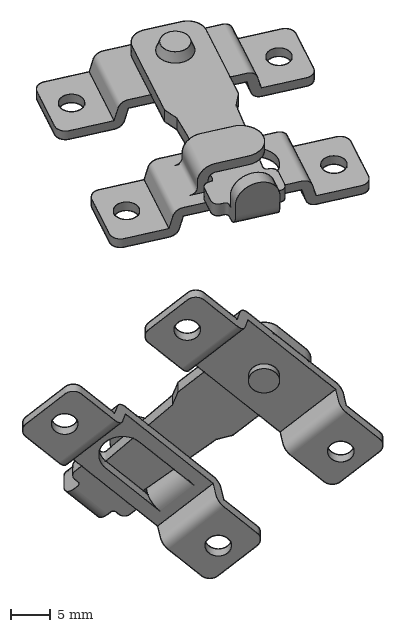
import cadquery as cq
import math

OVERALL_LENGTH = 38.0
OVERALL_HEIGHT = 11.5

BRACKET_LENGTH = 35.0
BRACKET_WIDTH = 10.0
SHEET = 1.5
BRIDGE_RISE = 3.05
BRIDGE_FLAT_LENGTH = 16.0
LEG_LEAN = 15.0
FOOT_CORNER_RADIUS = 1.5
SCREW_HOLE_DIAMETER = 3.4
SCREW_HOLE_PITCH = 28.0
KEEPER_X = 22.0
BRIDGE_TOP = BRIDGE_RISE + SHEET

HOOK_WIDTH = 6.08
HOOK_BEND_RADIUS = 1.0
HOOK_HEIGHT = 4.5
HOOK_TIP_Y = 4.5
HOOK_INNER_WALL_Y = -4.0
WINDOW_END_Y = 6.5
HOOK_OUTER_BEND_RADIUS = HOOK_BEND_RADIUS + SHEET
HOOK_X = KEEPER_X + BRACKET_WIDTH / 2

ARM_WIDTH = 10.0
ARM_THICKNESS = 2.0
ARM_END_RADIUS = 2.5
SHOULDER_START_X = 15.5
SHOULDER_END_X = 17.5
NECK_START_WIDTH = 7.98
NECK_END_WIDTH = 6.75
HEAD_START_X = 30.5
HEAD_END_X = 35.0
HEAD_CORNER_RADIUS = 1.0
INNER_CORNER_RADIUS = 0.5
TAB_WIDTH = 6.0
ARM_TOP = BRIDGE_TOP + ARM_THICKNESS

SHANK_DIAMETER = 4.0
RIVET_HEAD_DIAMETER = 5.0
RIVET_HEAD_HEIGHT = 1.5
RIVET_TAIL = 1.0
PIVOT_X = BRACKET_WIDTH / 2


def make_pivot_hole(bottom, top):
    """Cutter for the rivet hole between two heights."""
    return (
        cq.Workplane("XY", origin=(PIVOT_X, 0, bottom))
        .circle(SHANK_DIAMETER / 2)
        .extrude(top - bottom)
    )


def make_bracket(start_x):
    """Bridge-shaped strap with two screw feet, bent from sheet around sharp inside corners."""
    lean = math.radians(LEG_LEAN)
    half_length = BRACKET_LENGTH / 2
    half_flat = BRIDGE_FLAT_LENGTH / 2
    across_y = SHEET * math.cos(lean)
    across_z = SHEET * math.sin(lean)

    leg_top = (half_flat + across_y, BRIDGE_RISE + across_z)
    foot_bend = (leg_top[0] + (leg_top[1] - SHEET) * math.tan(lean), SHEET)
    leg_bottom = (foot_bend[0] - across_y, SHEET - across_z)
    mid_turn = math.radians((90 + LEG_LEAN) / 2)
    mid_y = SHEET * math.cos(mid_turn)
    mid_z = SHEET * math.sin(mid_turn)

    half_profile = (
        cq.Workplane("YZ")
        .moveTo(0, BRIDGE_RISE)
        .lineTo(0, BRIDGE_TOP)
        .lineTo(half_flat, BRIDGE_TOP)
        .threePointArc((half_flat + mid_y, BRIDGE_RISE + mid_z), leg_top)
        .lineTo(*foot_bend)
        .lineTo(half_length, SHEET)
        .lineTo(half_length, 0)
        .lineTo(foot_bend[0], 0)
        .threePointArc((foot_bend[0] - mid_y, SHEET - mid_z), leg_bottom)
        .lineTo(half_flat, BRIDGE_RISE)
        .close()
    )
    half_strap = half_profile.extrude(BRACKET_WIDTH)
    strap = half_strap.union(half_strap.mirror("XZ"))
    outer_corners = strap.faces("<Y or >Y").edges("|Z")
    strap = outer_corners.fillet(FOOT_CORNER_RADIUS)
    screw_holes = (
        cq.Workplane("XY")
        .pushPoints([(BRACKET_WIDTH / 2, side * SCREW_HOLE_PITCH / 2) for side in (-1, 1)])
        .circle(SCREW_HOLE_DIAMETER / 2)
        .extrude(SHEET)
    )
    return strap.cut(screw_holes).translate((start_x, 0, 0))


def tongue(root_y, tip_y, bottom, top):
    """Flat block as wide as the hook, with a half-round end at tip_y."""
    half_width = HOOK_WIDTH / 2
    round_y = tip_y - half_width
    return (
        cq.Workplane("XY", origin=(HOOK_X, 0, bottom))
        .moveTo(-half_width, root_y)
        .lineTo(half_width, root_y)
        .lineTo(half_width, round_y)
        .threePointArc((0, tip_y), (-half_width, round_y))
        .close()
        .extrude(top - bottom)
    )


def make_hook(root_y):
    """Strip rising from the bridge at root_y and turning back over the arm."""
    outer_wall_y = HOOK_INNER_WALL_Y - SHEET
    roof_y = HOOK_INNER_WALL_Y + HOOK_BEND_RADIUS
    top = BRIDGE_TOP + HOOK_HEIGHT
    underside = top - SHEET
    roof_bend_z = underside - HOOK_BEND_RADIUS
    root_bend_z = BRIDGE_TOP + HOOK_BEND_RADIUS
    diagonal = math.sqrt(0.5)
    inner_mid = HOOK_BEND_RADIUS * diagonal
    outer_mid = HOOK_OUTER_BEND_RADIUS * diagonal

    strip = (
        cq.Workplane("YZ", origin=(HOOK_X - HOOK_WIDTH / 2, 0, 0))
        .moveTo(root_y, BRIDGE_RISE)
        .lineTo(root_y, BRIDGE_TOP)
        .threePointArc((root_y + inner_mid, root_bend_z - inner_mid), (outer_wall_y, root_bend_z))
        .lineTo(outer_wall_y, roof_bend_z)
        .threePointArc((roof_y - outer_mid, roof_bend_z + outer_mid), (roof_y, top))
        .lineTo(HOOK_TIP_Y, top)
        .lineTo(HOOK_TIP_Y, underside)
        .lineTo(roof_y, underside)
        .threePointArc((roof_y - inner_mid, roof_bend_z + inner_mid), (HOOK_INNER_WALL_Y, roof_bend_z))
        .lineTo(HOOK_INNER_WALL_Y, root_bend_z)
        .threePointArc((root_y + outer_mid, root_bend_z - outer_mid), (root_y, BRIDGE_RISE))
        .close()
        .extrude(HOOK_WIDTH)
    )
    return strip.intersect(tongue(root_y, HOOK_TIP_Y, BRIDGE_RISE, top))


def make_pivot_bracket():
    """Bracket with a hole for the rivet."""
    return make_bracket(0).cut(make_pivot_hole(BRIDGE_RISE, BRIDGE_TOP))


def make_keeper_bracket():
    """Bracket with the hook and the window that the hook is bent out of."""
    root_y = HOOK_INNER_WALL_Y - HOOK_OUTER_BEND_RADIUS
    window = tongue(root_y, WINDOW_END_Y, BRIDGE_RISE, BRIDGE_TOP)
    return make_bracket(KEEPER_X).cut(window).union(make_hook(root_y))


def arm_section(start_x, end_x, start_width, end_width):
    """Length of flat arm whose width changes evenly."""
    return (
        cq.Workplane("XY", origin=(0, 0, BRIDGE_TOP))
        .moveTo(start_x, -start_width / 2)
        .lineTo(end_x, -end_width / 2)
        .lineTo(end_x, end_width / 2)
        .lineTo(start_x, start_width / 2)
        .close()
        .extrude(ARM_THICKNESS)
    )


def make_thumb_tab():
    """Upright tab with a half-round top, at the free end of the arm."""
    tab_x = OVERALL_LENGTH - ARM_THICKNESS
    half_width = TAB_WIDTH / 2
    round_z = OVERALL_HEIGHT - half_width
    return (
        cq.Workplane("YZ", origin=(tab_x, 0, 0))
        .moveTo(-half_width, BRIDGE_TOP)
        .lineTo(half_width, BRIDGE_TOP)
        .lineTo(half_width, round_z)
        .threePointArc((0, OVERALL_HEIGHT), (-half_width, round_z))
        .close()
        .extrude(ARM_THICKNESS)
    )


def make_arm():
    """Flat latch arm: pivot end, tapering neck, wider head and upright thumb tab."""
    pivot_end = arm_section(0, SHOULDER_START_X, ARM_WIDTH, ARM_WIDTH)
    pivot_end = pivot_end.edges("|Z and <X").fillet(ARM_END_RADIUS)
    shoulder = arm_section(SHOULDER_START_X, SHOULDER_END_X, ARM_WIDTH, NECK_START_WIDTH)
    neck = arm_section(SHOULDER_END_X, HEAD_START_X, NECK_START_WIDTH, NECK_END_WIDTH)
    head = arm_section(HEAD_START_X, HEAD_END_X, ARM_WIDTH, ARM_WIDTH)
    head = head.edges("|Z").fillet(HEAD_CORNER_RADIUS)
    tab_root = arm_section(HEAD_END_X, OVERALL_LENGTH - ARM_THICKNESS, TAB_WIDTH, TAB_WIDTH)
    blank = pivot_end.union(shoulder).union(neck).union(head).union(tab_root)

    mid_z = BRIDGE_TOP + ARM_THICKNESS / 2
    for side in (-1, 1):
        for x, width in ((HEAD_START_X, NECK_END_WIDTH), (HEAD_END_X, TAB_WIDTH)):
            corner = (x, side * width / 2, mid_z)
            blank = blank.edges(cq.selectors.NearestToPointSelector(corner)).fillet(INNER_CORNER_RADIUS)

    bent = blank.union(make_thumb_tab())
    bent = bent.faces("<Z").edges(">X").fillet(ARM_THICKNESS)
    return bent.cut(make_pivot_hole(BRIDGE_TOP, ARM_TOP))


def make_rivet():
    """Straight shank with a conical head on the arm and a short tail below the bridge."""
    shank_radius = SHANK_DIAMETER / 2
    head_top = ARM_TOP + RIVET_HEAD_HEIGHT
    tail_bottom = BRIDGE_RISE - RIVET_TAIL
    return (
        cq.Workplane("YZ", origin=(PIVOT_X, 0, 0))
        .moveTo(0, tail_bottom)
        .lineTo(-shank_radius, tail_bottom)
        .lineTo(-shank_radius, ARM_TOP)
        .lineTo(-RIVET_HEAD_DIAMETER / 2, ARM_TOP)
        .lineTo(-shank_radius, head_top)
        .lineTo(0, head_top)
        .close()
        .revolve(360, (0, 0, 0), (0, 1, 0))
    )


pivot_bracket = make_pivot_bracket()
keeper_bracket = make_keeper_bracket()
arm = make_arm()
rivet = make_rivet()

result = cq.Compound.makeCompound([pivot_bracket.val(), keeper_bracket.val(), arm.val(), rivet.val()])